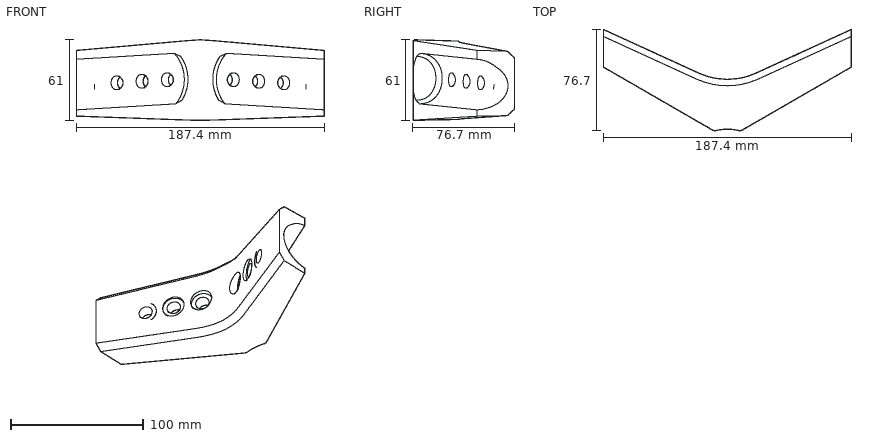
import cadquery as cq
import math

HALF_LENGTH = 93.7
DEPTH = 76.7
HEIGHT = 61.1
FRONT_ANGLE = math.radians(30)
BACK_ANGLE = math.radians(24.6)
BEND_RADIUS = 51.4
BACK_CHAMFER = 4.9

NOSE_OUTER_X = 11.0
NOSE_OUTER_Y = 0.4
NOSE_TIP_X = 9.5
NOSE_INNER_X = 8.2
NOSE_INNER_Y = 0.2
NOSE_RELIEF = 1.1

TOP_END_SLOPE = 0.071
TOP_BACK_SLOPE = 0.03
BOTTOM_END_SLOPE = 0.024
BOTTOM_BACK_SLOPE = 0.02

TROUGH_RADIUS = 19.1
TROUGH_DEPTH = 18.2
TROUGH_RISE = math.radians(3)
TROUGH_END_Z = 27.2
TROUGH_STOP_X = -9.4
STOP_WALL_RADIUS = 30.0
STOP_WALL_DROP = 1.1
STOP_CHAMFER = 3.2
FLARE_LENGTH = 13.9
FLARE_EXTRA = 2.6
FLARE_DROP = 1.0
FLARE_SIDE_GAP = 1.0

HOLE_DIAMETER = 10.3
SEAT_DIAMETER = 16.9
SEAT_WALL = 10.7
HOLE_XS = (-63.0, -44.0, -25.0)

CUT_SIZE = 374.9
FRONT_SLOPE = math.tan(FRONT_ANGLE)
END_FRONT_Y = NOSE_OUTER_Y + (HALF_LENGTH - NOSE_OUTER_X) * FRONT_SLOPE
BEND_X = BEND_RADIUS * math.sin(BACK_ANGLE)
BEND_Y = DEPTH - (HALF_LENGTH - BEND_X) * math.tan(BACK_ANGLE)
BEND_CENTER_Y = BEND_Y + BEND_RADIUS * math.cos(BACK_ANGLE)
BACK_MIDDLE_Y = BEND_CENTER_Y - BEND_RADIUS
INWARD = cq.Vector(math.sin(FRONT_ANGLE), math.cos(FRONT_ANGLE), 0)
TROUGH_DIRECTION = cq.Vector(1, -FRONT_SLOPE, math.tan(TROUGH_RISE) / math.cos(FRONT_ANGLE))


def axis_point(x):
    """Point on the trough axis at the given X."""
    end_y = END_FRONT_Y + (TROUGH_DEPTH - TROUGH_RADIUS) / math.cos(FRONT_ANGLE)
    end = cq.Vector(-HALF_LENGTH, end_y, TROUGH_END_Z)
    return end + TROUGH_DIRECTION * (x + HALF_LENGTH)


def beyond(origin, normal):
    """Large block filling the side of a plane that its normal points to."""
    plane = cq.Plane(origin=origin, normal=normal)
    return cq.Workplane(plane).rect(CUT_SIZE, CUT_SIZE).extrude(CUT_SIZE)


def arm_body():
    half_bend = BACK_ANGLE / 2
    bend_mid = (
        -BEND_RADIUS * math.sin(half_bend),
        BEND_CENTER_Y - BEND_RADIUS * math.cos(half_bend),
    )
    relief_drop = NOSE_RELIEF - NOSE_INNER_Y
    relief_radius = (NOSE_INNER_X**2 + relief_drop**2) / (2 * relief_drop)
    half_relief = math.asin(NOSE_INNER_X / relief_radius) / 2
    relief_mid = (
        -relief_radius * math.sin(half_relief),
        NOSE_RELIEF - relief_radius * (1 - math.cos(half_relief)),
    )
    body = (
        cq.Workplane("XY")
        .moveTo(-NOSE_OUTER_X, NOSE_OUTER_Y)
        .lineTo(-HALF_LENGTH, END_FRONT_Y)
        .lineTo(-HALF_LENGTH, DEPTH)
        .lineTo(-BEND_X, BEND_Y)
        .threePointArc(bend_mid, (0, BACK_MIDDLE_Y))
        .lineTo(0, NOSE_RELIEF)
        .threePointArc(relief_mid, (-NOSE_INNER_X, NOSE_INNER_Y))
        .threePointArc((-NOSE_TIP_X, 0), (-NOSE_OUTER_X, NOSE_OUTER_Y))
        .close()
        .extrude(HEIGHT)
    )
    body = body.cut(beyond((0, 0, HEIGHT), (-TOP_END_SLOPE, TOP_BACK_SLOPE, 1)))
    body = body.cut(beyond((0, 0, 0), (-BOTTOM_END_SLOPE, BOTTOM_BACK_SLOPE, -1)))
    return chamfer_back(body, bend_mid)


def chamfer_back(body, bend_mid):
    straight_mid = (-(HALF_LENGTH + BEND_X) / 2, (DEPTH + BEND_Y) / 2)
    edges = []
    for x, y in (straight_mid, bend_mid):
        for z in (0, HEIGHT):
            edges += body.edges(cq.NearestToPointSelector((x, y, z))).vals()
    return body.newObject(edges).chamfer(BACK_CHAMFER)


def trough():
    """Round cutter whose inner end is an upright bowed wall with a chamfered foot."""
    start = axis_point(-2 * HALF_LENGTH)
    plane = cq.Plane(origin=start, normal=TROUGH_DIRECTION)
    cutter = cq.Workplane(plane).circle(TROUGH_RADIUS).extrude(CUT_SIZE)
    wall_center_x = TROUGH_STOP_X - STOP_WALL_RADIUS
    wall_z = axis_point(TROUGH_STOP_X).z - STOP_WALL_DROP
    limit = (
        cq.Workplane("XZ")
        .moveTo(-CUT_SIZE, wall_z - STOP_WALL_RADIUS)
        .lineTo(wall_center_x, wall_z - STOP_WALL_RADIUS)
        .threePointArc((TROUGH_STOP_X, wall_z), (wall_center_x, wall_z + STOP_WALL_RADIUS))
        .lineTo(-CUT_SIZE, wall_z + STOP_WALL_RADIUS)
        .close()
        .extrude(CUT_SIZE, both=True)
    )
    return cutter.intersect(limit).faces(">X").edges().chamfer(STOP_CHAMFER)


def flare():
    """Oval scoop that deepens the trough towards the arm end."""
    y_radius = TROUGH_RADIUS / math.cos(FRONT_ANGLE) + FLARE_EXTRA
    z_radius = TROUGH_RADIUS - FLARE_SIDE_GAP
    end = axis_point(-HALF_LENGTH) - cq.Vector(0, 0, FLARE_DROP)
    inner = axis_point(-HALF_LENGTH + FLARE_LENGTH) - cq.Vector(0, FLARE_EXTRA, FLARE_DROP)
    sections = [
        cq.Wire.makeEllipse(y_radius, z_radius, center, cq.Vector(1, 0, 0), cq.Vector(0, 1, 0))
        for center in (end, inner)
    ]
    return cq.Workplane(cq.Solid.makeLoft(sections, True))


def bolt_hole(x):
    """Hole square to the front face, with a back seat that leaves an even wall behind the trough."""
    center_x = x - TROUGH_RADIUS * math.sin(FRONT_ANGLE)
    plane = cq.Plane(origin=axis_point(center_x), normal=INWARD)
    hole = cq.Workplane(plane).circle(HOLE_DIAMETER / 2).extrude(HALF_LENGTH)
    seat = (
        cq.Workplane(plane)
        .workplane(offset=TROUGH_RADIUS + SEAT_WALL)
        .circle(SEAT_DIAMETER / 2)
        .extrude(HALF_LENGTH)
    )
    return hole.union(seat)


arm = arm_body().cut(trough()).cut(flare())
for hole_x in HOLE_XS:
    arm = arm.cut(bolt_hole(hole_x))

result = arm.union(arm.mirror("YZ")).clean()